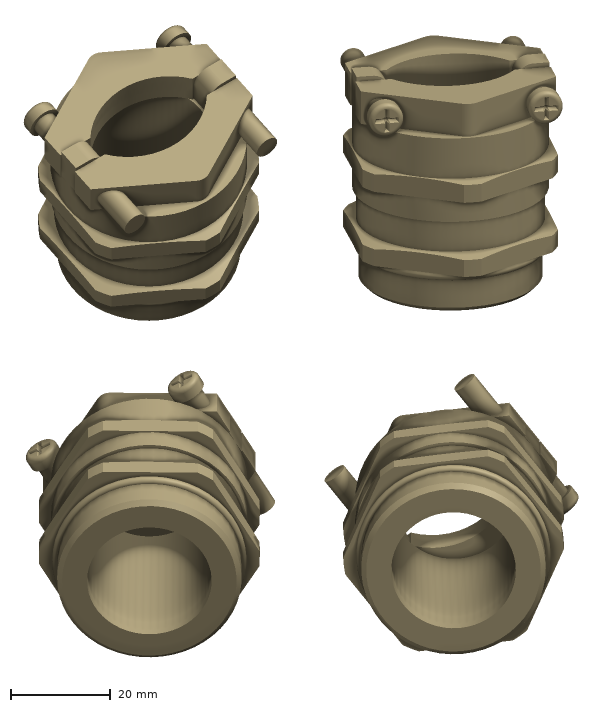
import cadquery as cq
import math

BORE_DIAMETER = 25.0
THREAD_DIAMETER = 37.0
THREAD_CHAMFER = 1.0
NECK_DIAMETER = 38.0
COLLAR_DIAMETER = 39.5
NECK_BOTTOM = 9.0
COLLAR_BOTTOM = 20.0
COLLAR_TOP = 38.0

RING_TUBE_RADIUS = 1.0
RING_CENTRE_RADIUS = THREAD_DIAMETER / 2
RING_Z = NECK_BOTTOM - RING_TUBE_RADIUS

NUT_ACROSS_FLATS = 40.0
NUT_CORNER_DIAMETER = 44.29
NUT_CONE_ANGLE = 12.5
LOWER_NUT_BOTTOM = NECK_BOTTOM
LOWER_NUT_CORNER_HEIGHT = 3.62
UPPER_NUT_BOTTOM = 25.0
UPPER_NUT_CORNER_HEIGHT = 3.8

PLATE_TOP = 45.0
PLATE_THICKNESS = PLATE_TOP - COLLAR_TOP
PLATE_WIDTH_Y = NUT_ACROSS_FLATS
PLATE_LENGTH_X = 38.0
PLATE_SIDE_ANGLE = 60.0
PLATE_TIP_RADIUS = 3.0
LENS_WIDTH = 17.36
LENS_TIP_Y = 12.6

BAR_WIDTH = 5.0
BAR_TOP = 46.0
BAR_INNER_Y = 13.0
BAR_OUTER_Y = COLLAR_DIAMETER / 2
BAR_ROUND_RADIUS = 3.5

SCREW_DIAMETER = 5.0
SCREW_HEAD_DIAMETER = 7.0
SCREW_HEAD_LENGTH = 3.0
SCREW_HEAD_ROUND = 1.0
SCREW_HEAD_FACE_X = -16.0
SCREW_END_X = 18.0
SCREW_Y = 16.33
SCREW_Z = PLATE_TOP - SCREW_HEAD_DIAMETER / 2
RECESS_LENGTH = 4.9
RECESS_WIDTH = 1.05
RECESS_DEPTH = 1.0
RECESS_TAPER = 26.0
RECESS_CONE_RADIUS = 0.85
RECESS_CONE_TIP_RADIUS = 0.15
RECESS_CONE_DEPTH = 1.5

SIDES = (-1, 1)


def disc(diameter, bottom, top):
    """Solid cylinder on the Z axis between two heights."""
    return cq.Workplane("XY").workplane(offset=bottom).circle(diameter / 2).extrude(top - bottom)


def make_body():
    thread = disc(THREAD_DIAMETER, 0, NECK_BOTTOM).faces("<Z").chamfer(THREAD_CHAMFER)
    neck = disc(NECK_DIAMETER, NECK_BOTTOM, COLLAR_BOTTOM)
    collar = disc(COLLAR_DIAMETER, COLLAR_BOTTOM, COLLAR_TOP)
    return thread.union(neck).union(collar)


def make_ring():
    half_round = (
        cq.Workplane("XZ")
        .moveTo(RING_CENTRE_RADIUS, RING_Z - RING_TUBE_RADIUS)
        .threePointArc(
            (RING_CENTRE_RADIUS + RING_TUBE_RADIUS, RING_Z),
            (RING_CENTRE_RADIUS, RING_Z + RING_TUBE_RADIUS),
        )
        .close()
    )
    return half_round.revolve(360, (0, 0, 0), (0, 1, 0))


def make_nut(bottom, corner_height):
    """Hexagon with flats on +-Y, its corners turned round and its top slightly conical."""
    corner_radius = NUT_CORNER_DIAMETER / 2
    cone_rise = corner_radius * math.tan(math.radians(NUT_CONE_ANGLE))
    hexagon = (
        cq.Workplane("XY")
        .workplane(offset=bottom)
        .polygon(6, NUT_ACROSS_FLATS / math.cos(math.pi / 6))
        .extrude(corner_height + cone_rise)
    )
    turned_blank = (
        cq.Workplane("XZ", origin=(0, 0, bottom))
        .lineTo(corner_radius, 0)
        .lineTo(corner_radius, corner_height)
        .lineTo(0, corner_height + cone_rise)
        .close()
        .revolve(360, (0, 0, 0), (0, 1, 0))
    )
    return hexagon.intersect(turned_blank)


def make_plate():
    half_width = PLATE_WIDTH_Y / 2
    half_angle = math.radians(PLATE_SIDE_ANGLE)
    tip_overshoot = PLATE_TIP_RADIUS * (1 / math.sin(half_angle) - 1)
    tip_x = PLATE_LENGTH_X / 2 + tip_overshoot
    corner_x = tip_x - half_width / math.tan(half_angle)
    outline = [
        (tip_x, 0),
        (corner_x, half_width),
        (-corner_x, half_width),
        (-tip_x, 0),
        (-corner_x, -half_width),
        (corner_x, -half_width),
    ]
    plate = (
        cq.Workplane("XY")
        .workplane(offset=COLLAR_TOP)
        .polyline(outline)
        .close()
        .extrude(PLATE_THICKNESS)
        .edges("|Z and (<X or >X)")
        .fillet(PLATE_TIP_RADIUS)
    )
    lens_tip_x = BAR_WIDTH / 2
    lens = (
        cq.Workplane("XY")
        .workplane(offset=COLLAR_TOP)
        .moveTo(lens_tip_x, -LENS_TIP_Y)
        .threePointArc((LENS_WIDTH / 2, 0), (lens_tip_x, LENS_TIP_Y))
        .lineTo(-lens_tip_x, LENS_TIP_Y)
        .threePointArc((-LENS_WIDTH / 2, 0), (-lens_tip_x, -LENS_TIP_Y))
        .close()
        .extrude(PLATE_THICKNESS)
    )
    bar_slot = (
        cq.Workplane("XY")
        .workplane(offset=COLLAR_TOP)
        .rect(BAR_WIDTH, PLATE_WIDTH_Y)
        .extrude(PLATE_THICKNESS)
    )
    return plate.cut(lens).cut(bar_slot)


def make_bar(side):
    """Bar on one side; its inner top edge is rounded toward the opening."""
    profile = (
        cq.Workplane("YZ", origin=(-BAR_WIDTH / 2, 0, 0))
        .moveTo(side * BAR_OUTER_Y, COLLAR_TOP)
        .lineTo(side * BAR_OUTER_Y, BAR_TOP)
        .lineTo(side * (BAR_INNER_Y + BAR_ROUND_RADIUS), BAR_TOP)
        .radiusArc((side * BAR_INNER_Y, BAR_TOP - BAR_ROUND_RADIUS), -side * BAR_ROUND_RADIUS)
        .lineTo(side * BAR_INNER_Y, COLLAR_TOP)
        .close()
    )
    return profile.extrude(BAR_WIDTH)


def make_screw(side):
    head_face = cq.Workplane("YZ", origin=(SCREW_HEAD_FACE_X, side * SCREW_Y, SCREW_Z))
    head = head_face.circle(SCREW_HEAD_DIAMETER / 2).extrude(SCREW_HEAD_LENGTH)
    head = head.faces("<X").edges().fillet(SCREW_HEAD_ROUND)
    shank_start = SCREW_HEAD_LENGTH / 2
    shank = (
        head_face.workplane(offset=shank_start)
        .circle(SCREW_DIAMETER / 2)
        .extrude(SCREW_END_X - SCREW_HEAD_FACE_X - shank_start)
    )
    flat_arm = head_face.rect(RECESS_LENGTH, RECESS_WIDTH).extrude(RECESS_DEPTH, taper=RECESS_TAPER)
    upright_arm = head_face.rect(RECESS_WIDTH, RECESS_LENGTH).extrude(RECESS_DEPTH, taper=RECESS_TAPER)
    centre_cone = (
        head_face.circle(RECESS_CONE_RADIUS)
        .workplane(offset=RECESS_CONE_DEPTH)
        .circle(RECESS_CONE_TIP_RADIUS)
        .loft()
    )
    return head.union(shank).cut(flat_arm).cut(upright_arm).cut(centre_cone)


result = make_body().union(make_ring())
result = result.union(make_nut(LOWER_NUT_BOTTOM, LOWER_NUT_CORNER_HEIGHT))
result = result.union(make_nut(UPPER_NUT_BOTTOM, UPPER_NUT_CORNER_HEIGHT))
result = result.cut(disc(BORE_DIAMETER, 0, COLLAR_TOP))
result = result.union(make_plate())
for side in SIDES:
    result = result.union(make_bar(side))
for side in SIDES:
    result = result.union(make_screw(side))